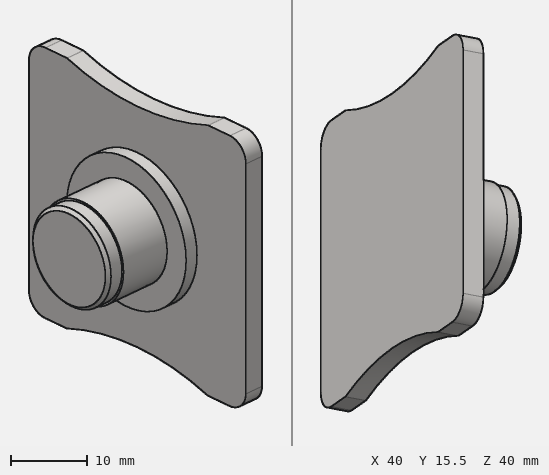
import cadquery as cq

plate_side = 40.0
plate_thickness = 3.0
corner_radius = 3.0
scallop_width = 26.0
scallop_depth = 2.2

flange_diameter = 22.0
flange_length = 2.0
shank_diameter = 15.0
shank_length = 8.0
tip_diameter = 14.4
tip_length = 2.5
tip_chamfer = 0.5


def make_plate():
    """Rounded square plate with a shallow arc cut into its top and bottom edges."""
    half_side = plate_side / 2
    half_scallop = scallop_width / 2
    arc_middle = half_side - scallop_depth
    outline = (
        cq.Workplane("XZ")
        .moveTo(-half_side, -half_side)
        .lineTo(-half_scallop, -half_side)
        .threePointArc((0, -arc_middle), (half_scallop, -half_side))
        .lineTo(half_side, -half_side)
        .lineTo(half_side, half_side)
        .lineTo(half_scallop, half_side)
        .threePointArc((0, arc_middle), (-half_scallop, half_side))
        .lineTo(-half_side, half_side)
        .close()
    )
    plate = outline.extrude(plate_thickness)
    return plate.edges("|Y and (<X or >X)").fillet(corner_radius)


def make_boss():
    """Flange, shank and chamfered tip stacked along one axis from the plate face."""
    boss = (
        cq.Workplane("XZ", origin=(0, -plate_thickness, 0))
        .circle(flange_diameter / 2)
        .extrude(flange_length)
    )
    for diameter, length in ((shank_diameter, shank_length), (tip_diameter, tip_length)):
        boss = boss.faces("<Y").workplane().circle(diameter / 2).extrude(length)
    return boss.faces("<Y").edges().chamfer(tip_chamfer)


result = make_plate().union(make_boss())